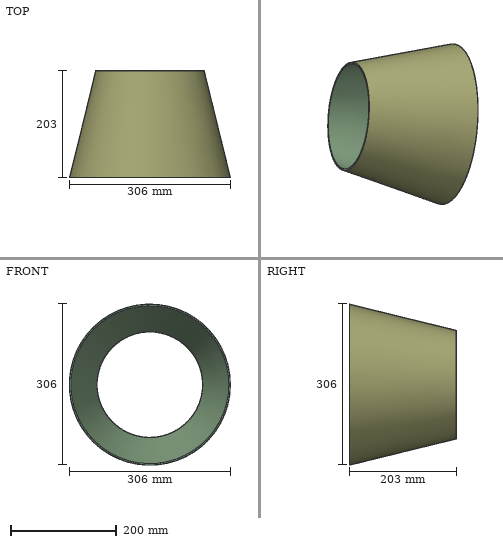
import cadquery as cq

large_diameter = 306.0
small_diameter = 206.2
length = 203.0
wall = 3.0

large_radius = large_diameter / 2
small_radius = small_diameter / 2

wall_section = (
    cq.Workplane("XY")
    .moveTo(large_radius - wall, 0)
    .lineTo(large_radius, 0)
    .lineTo(small_radius, length)
    .lineTo(small_radius - wall, length)
    .close()
)

result = wall_section.revolve(360, (0, 0, 0), (0, 1, 0))